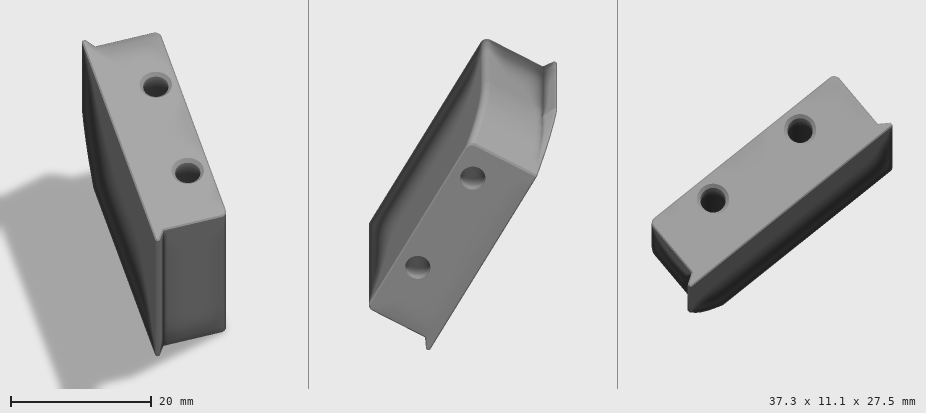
import cadquery as cq
import math

WIDTH = 37.29
DEPTH = 11.12
HEIGHT = 27.5

LIP_OVERHANG = 1.53
LIP_TIP_THICKNESS = 0.55
LIP_ROOT_THICKNESS = 1.57
LIP_TIP_CURVE_HEIGHT = 11.4
LIP_ROOT_CURVE_HEIGHT = 10.4
LIP_CURVE_RADIUS = 30.0
LIP_TIP_INSET = 6.0
LIP_ROOT_INSET = 6.5

BODY_CURVE_HEIGHT = 12.5
BODY_CURVE_RADIUS = 20.0
BACK_FILLET = 1.0
EDGE_CHAMFER = 0.2

HOLE_DIAMETER = 3.6
COUNTERSINK_DIAMETER = 4.6
COUNTERSINK_ANGLE = 90
HOLE_SPACING = 16.0
HOLE_TO_BACK = 3.25

BODY_HALF_WIDTH = WIDTH / 2 - LIP_OVERHANG
BODY_CURVE_INSET = BODY_CURVE_RADIUS - math.sqrt(BODY_CURVE_RADIUS**2 - BODY_CURVE_HEIGHT**2)


def arc_sagitta(chord_x, chord_z, radius):
    """Sagitta of an arc that bows outward from the part."""
    half_chord = math.hypot(chord_x, chord_z) / 2
    return radius - math.sqrt(radius**2 - half_chord**2)


def side_outline(y, half_width, curve_height, foot_x, radius):
    """Closed wire in the plane at depth y, with a curved lower left corner."""
    sagitta = arc_sagitta(foot_x + half_width, curve_height, radius)
    return (
        cq.Workplane("XZ", origin=(0, y, 0))
        .moveTo(-half_width, HEIGHT)
        .lineTo(half_width, HEIGHT)
        .lineTo(half_width, 0)
        .lineTo(foot_x, 0)
        .sagittaArc((-half_width, curve_height), sagitta)
        .close()
    )


def make_body():
    foot_x = -BODY_HALF_WIDTH + BODY_CURVE_INSET
    outline = side_outline(0, BODY_HALF_WIDTH, BODY_CURVE_HEIGHT, foot_x, BODY_CURVE_RADIUS)
    body = outline.extrude(-DEPTH)
    back_side_edges = body.faces(">Y").edges("not(<Z or >Z)")
    return back_side_edges.fillet(BACK_FILLET)


def make_lip():
    tip_foot_x = -WIDTH / 2 + LIP_TIP_INSET
    root_foot_x = -WIDTH / 2 + LIP_ROOT_INSET
    tip_shape = (WIDTH / 2, LIP_TIP_CURVE_HEIGHT, tip_foot_x, LIP_CURVE_RADIUS)
    root_shape = (BODY_HALF_WIDTH, LIP_ROOT_CURVE_HEIGHT, root_foot_x, LIP_CURVE_RADIUS)
    plate = side_outline(0, *tip_shape).extrude(-LIP_TIP_THICKNESS)
    tip_wire = side_outline(LIP_TIP_THICKNESS, *tip_shape).val()
    root_wire = side_outline(LIP_ROOT_THICKNESS, *root_shape).val()
    flare = cq.Workplane(cq.Solid.makeLoft([tip_wire, root_wire], True))
    return plate.union(flare)


def chamfer_outer_edges(part):
    return part.edges(">Z or <Z or <Y").chamfer(EDGE_CHAMFER)


def drill_holes(part):
    hole_y = DEPTH - HOLE_TO_BACK
    return (
        part.faces(">Z")
        .workplane(origin=(0, hole_y, HEIGHT))
        .pushPoints([(-HOLE_SPACING / 2, 0), (HOLE_SPACING / 2, 0)])
        .cskHole(HOLE_DIAMETER, COUNTERSINK_DIAMETER, COUNTERSINK_ANGLE)
    )


result = drill_holes(chamfer_outer_edges(make_body().union(make_lip())))